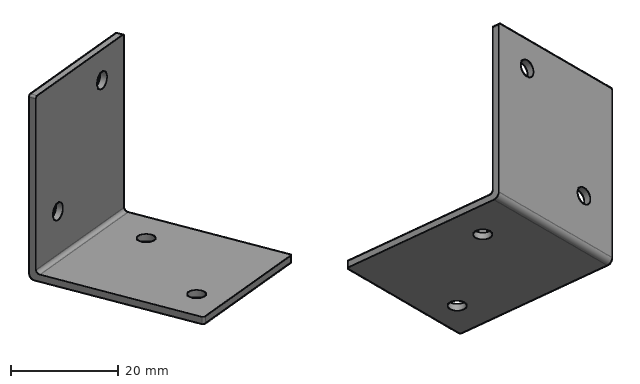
import cadquery as cq

leg_length = 38.1
width = 31.75
thickness = 1.52
outer_bend_radius = 1.22
inner_bend_radius = 0.8
corner_radius = 0.45
hole_diameter = 3.55
near_hole_distance = 11.13
far_hole_distance = 31.75
hole_offset = width / 4

bracket = (
    cq.Workplane("XZ")
    .moveTo(0, 0)
    .lineTo(leg_length, 0)
    .lineTo(leg_length, thickness)
    .lineTo(thickness, thickness)
    .lineTo(thickness, leg_length)
    .lineTo(0, leg_length)
    .close()
    .extrude(width / 2, both=True)
)

bracket = bracket.edges("|Y and <X and <Z").fillet(outer_bend_radius)
inner_edge = cq.selectors.NearestToPointSelector((thickness, 0, thickness))
bracket = bracket.edges(inner_edge).fillet(inner_bend_radius)

bracket = bracket.faces(">X").edges("|Z").fillet(corner_radius)
bracket = bracket.faces(">Z").edges("|X").fillet(corner_radius)

floor_holes = (
    cq.Workplane("XY")
    .pushPoints([(near_hole_distance, hole_offset), (far_hole_distance, -hole_offset)])
    .circle(hole_diameter / 2)
    .extrude(thickness)
)

upright_holes = (
    cq.Workplane("YZ")
    .pushPoints([(hole_offset, far_hole_distance), (-hole_offset, near_hole_distance)])
    .circle(hole_diameter / 2)
    .extrude(thickness)
)

result = bracket.cut(floor_holes).cut(upright_holes)